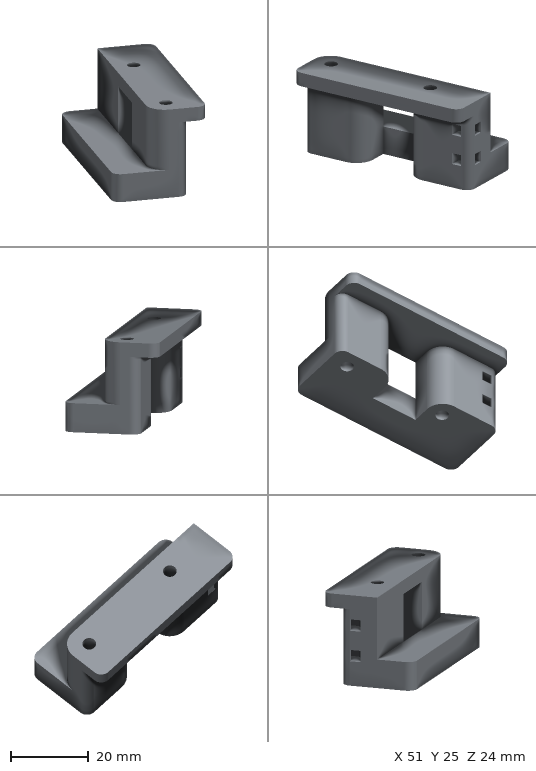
import cadquery as cq

length = 51.0
depth = 25.0
height = 24.0
corner_radius = 2.5
large_radius = 5.0

foot_height = 7.6
wall_front = 10.0
wall_back = 20.0
flange_thickness = 3.7
flange_bottom = height - flange_thickness

window_left = 19.5
window_width = 13.55

hole_diameter = 3.5
hole_y = 15.5
hole_left_x = 15.0
hole_spacing = 30.5

slot_height = 3.0
slot_bottoms = (6.5, 14.6)
slot_outer_offset = 5.35
slot_inner_offset = 2.55
slot_outer_straight = 2.95
slot_inner_straight = 0.5


def block(y_front, y_back, z_bottom, z_top):
    """Full-length block between the given limits."""
    return cq.Workplane("XY", origin=(0, 0, z_bottom)).rect(
        length, y_back - y_front, centered=False
    ).extrude(z_top - z_bottom).translate((0, y_front, 0))


def make_foot():
    foot = block(0, wall_back, 0, foot_height)
    return foot.edges("|Z").fillet(corner_radius)


def make_wall():
    wall = block(wall_front, wall_back, 0, height)
    wall = wall.edges("|Z and >Y").fillet(corner_radius)
    return wall.edges("|Z and >X and <Y").fillet(large_radius)


def make_flange():
    flange = block(wall_front, depth, flange_bottom, height)
    flange = flange.edges("|Z and >Y").fillet(corner_radius)
    return flange.edges("|Z and >X and <Y").fillet(large_radius)


def make_window():
    """Opening from the base up to the flange, with a convex round on each side at the rear."""
    left = window_left
    right = window_left + window_width
    round_start = wall_back - large_radius
    return (
        cq.Workplane("XY")
        .moveTo(left, wall_front)
        .lineTo(right, wall_front)
        .lineTo(right, round_start)
        .radiusArc((right + large_radius, wall_back), large_radius)
        .lineTo(left - large_radius, wall_back)
        .radiusArc((left, round_start), large_radius)
        .close()
        .extrude(flange_bottom)
    )


def make_tie_slot(z_bottom):
    """Bent slot from the left end face to the rear face, symmetric about the corner diagonal."""
    outline = [
        (0, wall_back - slot_outer_offset),
        (slot_outer_straight, wall_back - slot_outer_offset),
        (slot_outer_offset, wall_back - slot_outer_straight),
        (slot_outer_offset, wall_back),
        (slot_inner_offset, wall_back),
        (slot_inner_offset, wall_back - slot_inner_straight),
        (slot_inner_straight, wall_back - slot_inner_offset),
        (0, wall_back - slot_inner_offset),
    ]
    return cq.Workplane("XY", origin=(0, 0, z_bottom)).polyline(outline).close().extrude(slot_height)


def make_screw_holes():
    centers = [(hole_left_x, hole_y), (hole_left_x + hole_spacing, hole_y)]
    return cq.Workplane("XY").pushPoints(centers).circle(hole_diameter / 2).extrude(height)


result = make_foot().union(make_wall()).cut(make_window()).union(make_flange())
result = result.cut(make_screw_holes())
for slot_bottom in slot_bottoms:
    result = result.cut(make_tie_slot(slot_bottom))